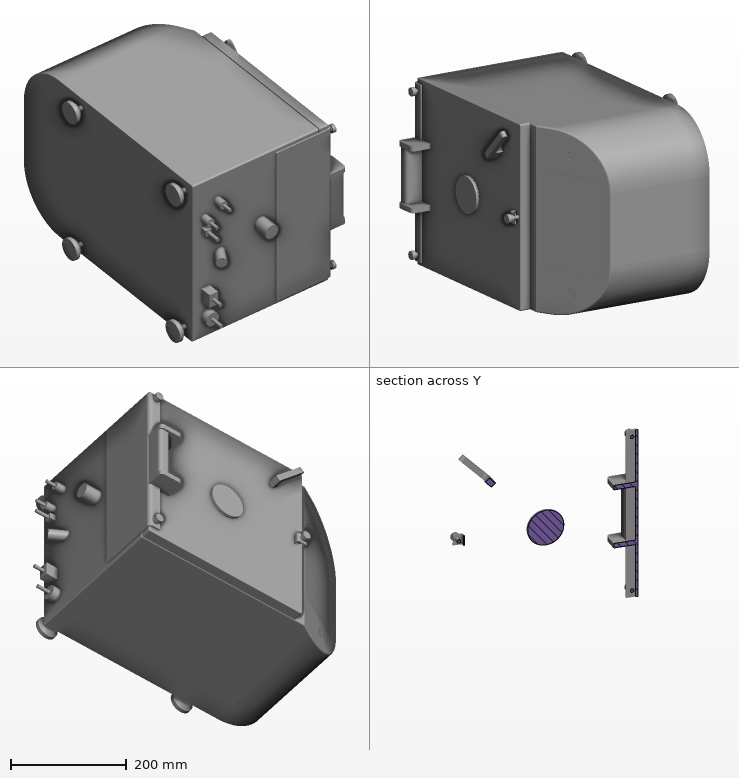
import cadquery as cq
import math


HOUSING_LENGTH = 481.5
HOUSING_WIDTH = 336.5
HOUSING_HEIGHT = 274.5
NOSE_RADIUS = 102.0
PANEL_LENGTH = 126.0
PANEL_SLOPE = 30.0
NOSE_HEIGHT = HOUSING_HEIGHT - PANEL_LENGTH * math.tan(math.radians(PANEL_SLOPE))
EDGE_BREAK = 3.0

PANEL_CENTRE_Y = 239.5
SCREEN_LENGTH = 122.5
SCREEN_WIDTH = 180.5
SCREEN_CORNER = 8.5
BUTTON_RADIUS = 8.5
BUTTON_OFFSET = 123.5
PANEL_RECESS = 0.5

FOOT_FRONT_X = 164.0
FOOT_REAR_X = 458.5
FOOT_HEIGHT = 25.5
FOOT_PAD_HEIGHT = 7.5
FOOT_CONE_HEIGHT = 6.0
FOOT_RADIUS = 21.0
FOOT_CONE_RADIUS = 15.0
FOOT_OFFSET = HOUSING_WIDTH / 2 - FOOT_RADIUS
FOOT_STEM_RADIUS = 5.0

PLUG_RADIUS = 8.0
PLUG_LENGTH = 19.0
PLUG_PIN_RADIUS = 3.0
PLUG_PIN_END = 518.5
PLUG_PLACES = [(53.5, 114.5), (25.0, 89.0)]
PIN_RADIUS = 3.4
SMALL_BLOCK_SIZE = 12.5
SMALL_BLOCK_LENGTH = 12.0
SMALL_BLOCK_PLACE = (25.5, 64.0)
SMALL_BLOCK_PIN_END = 519.5
LARGE_BLOCK_HEIGHT = 18.0
LARGE_BLOCK_WIDTH = 27.5
LARGE_BLOCK_LENGTH = 23.5
LARGE_BLOCK_PLACE = (28.0, -74.5)
LARGE_BLOCK_PIN_END = 525.0
SOCKET_RADIUS = 13.5
SOCKET_LENGTH = 14.5
SOCKET_PLACE = (32.0, -124.5)
SOCKET_PIN_END = 521.0
OUTLET_RADIUS = 13.5
OUTLET_LENGTH = 32.0
OUTLET_PLACE = (147.0, 22.5)
SPOUT_RADIUS = 10.0
SPOUT_END_X = 507.5
SPOUT_END_Y = 43.0
SPOUT_TILT = 30.0
SPOUT_LENGTH = 42.0

LID_FRONT_X = 146.0
LID_HEIGHT = 19.5
LID_TOP = HOUSING_HEIGHT + LID_HEIGHT
LID_TOP_FILLET = 1.5

COVER_X = 313.5
COVER_RADIUS = 33.5
COVER_RIM_RADIUS = 34.0
COVER_RIM_HEIGHT = 1.5
COVER_HEIGHT = 6.0

STRAP_WIDTH = 320.0
STRAP_FRONT_X = 461.5
STRAP_THICKNESS = 3.0
STRAP_GAP = 2.5
STRAP_TOP = LID_TOP + STRAP_GAP + STRAP_THICKNESS
STRAP_BACK_X = HOUSING_LENGTH + STRAP_THICKNESS
STRAP_END_Y = 179.5
STRAP_BEND = 8.0

HINGE_FRONT_X = 438.0
HINGE_BACK_X = 483.5
HINGE_TOP = 331.5
HINGE_WIDTH = 120.5
CHEEK_THICKNESS = 9.5
HINGE_BLOCK_TOP = 328.0
HINGE_FILLET = 7.0

KNOB_RADIUS = 8.0
REAR_KNOB_X = 472.0
REAR_KNOB_OFFSET = FOOT_OFFSET
REAR_KNOB_TOP = 313.0
REAR_COLLAR_BASE = 302.5
LATCH_KNOB_X = 154.0
LATCH_KNOB_TOP = 317.0
KNOB_HEAD_HEIGHT = 7.5
KNOB_COLLAR_RADIUS = 5.0
KNOB_STEM_RADIUS = 3.5

LATCH_FRONT_X = 145.5
LATCH_BACK_X = 164.5
LATCH_TOP = 305.0
LATCH_WIDTH = 20.0
LATCH_THICKNESS = 2.0
LATCH_BEND = 4.5
LATCH_SLOT = 8.5

HANDLE_TIP_X = 164.5
HANDLE_TIP_Z = 150.5
HANDLE_ANGLE = 45.0
HANDLE_LENGTH = 75.5
HANDLE_WIDTH = 11.0
HANDLE_HEIGHT = 26.0
HANDLE_BAR = 11.0
HANDLE_LEG = 17.0
HANDLE_NOSE_FILLET = 5.0
HANDLE_INNER_FILLET = 4.0
HANDLE_OUTER_FILLET = 2.0


def column(x, z, base, top, radius):
    """Cylinder along +Y from base to top."""
    return cq.Workplane(cq.Solid.makeCylinder(radius, top - base, cq.Vector(x, base, z), cq.Vector(0, 1, 0)))


def rear_rod(place, end_x, radius):
    """Cylinder along +X from the housing's back wall to end_x."""
    y, z = place
    start = cq.Vector(HOUSING_LENGTH, y, z)
    return cq.Workplane(cq.Solid.makeCylinder(radius, end_x - HOUSING_LENGTH, start, cq.Vector(1, 0, 0)))


def rear_block(place, length, height, width):
    """Box on the housing's back wall, centred on place."""
    y, z = place
    return (
        cq.Workplane("XY")
        .box(length, height, width, centered=(False, True, True))
        .translate((HOUSING_LENGTH, y, z))
    )


def make_shell():
    shell = (
        cq.Workplane("XY")
        .moveTo(0, 0)
        .lineTo(HOUSING_LENGTH, 0)
        .lineTo(HOUSING_LENGTH, HOUSING_HEIGHT)
        .lineTo(PANEL_LENGTH, HOUSING_HEIGHT)
        .lineTo(0, NOSE_HEIGHT)
        .close()
        .extrude(HOUSING_WIDTH / 2, both=True)
    )
    shell = shell.faces("<X").edges("|Y").fillet(NOSE_RADIUS)
    panel_middle = (PANEL_LENGTH / 2, (HOUSING_HEIGHT + NOSE_HEIGHT) / 2, 0)
    top_sides = shell.faces(">Y").edges("|X").vals()
    panel_rim = shell.faces(cq.selectors.NearestToPointSelector(panel_middle)).edges("not(|Z and >X)").vals()
    shell = shell.newObject(top_sides + panel_rim).fillet(EDGE_BREAK)
    return shell.faces(">X").edges("|Y").fillet(EDGE_BREAK)


def panel_recesses():
    """Screen and button recesses, sunk square to the sloping panel."""
    slope = math.radians(PANEL_SLOPE)
    centre_x = (PANEL_CENTRE_Y - NOSE_HEIGHT) / math.tan(slope)
    panel = cq.Plane(
        origin=(centre_x, PANEL_CENTRE_Y, 0),
        xDir=(math.cos(slope), math.sin(slope), 0),
        normal=(-math.sin(slope), math.cos(slope), 0),
    )
    screen = (
        cq.Workplane(panel)
        .rect(SCREEN_LENGTH, SCREEN_WIDTH)
        .extrude(-PANEL_RECESS)
        .edges(cq.selectors.ParallelDirSelector(panel.zDir))
        .fillet(SCREEN_CORNER)
    )
    buttons = (
        cq.Workplane(panel)
        .pushPoints([(0, -BUTTON_OFFSET), (0, BUTTON_OFFSET)])
        .circle(BUTTON_RADIUS)
        .extrude(-PANEL_RECESS)
    )
    return screen.union(buttons)


def make_foot(x, z):
    """Stem, cone and pad, revolved about the foot's axis."""
    pad_top = -FOOT_HEIGHT + FOOT_PAD_HEIGHT
    cone_top = pad_top + FOOT_CONE_HEIGHT
    return (
        cq.Workplane("XY")
        .moveTo(0, 0)
        .lineTo(FOOT_STEM_RADIUS, 0)
        .lineTo(FOOT_STEM_RADIUS, cone_top)
        .lineTo(FOOT_CONE_RADIUS, cone_top)
        .lineTo(FOOT_RADIUS, pad_top)
        .lineTo(FOOT_RADIUS, -FOOT_HEIGHT)
        .lineTo(0, -FOOT_HEIGHT)
        .close()
        .revolve(360, (0, 0, 0), (0, 1, 0))
        .translate((x, 0, z))
    )


def make_spout():
    """Tilted cylinder that runs from inside the housing out and down to its open end."""
    tilt = math.radians(SPOUT_TILT)
    inward = cq.Vector(-math.cos(tilt), math.sin(tilt), 0)
    end = cq.Vector(SPOUT_END_X, SPOUT_END_Y, 0)
    return cq.Workplane(cq.Solid.makeCylinder(SPOUT_RADIUS, SPOUT_LENGTH, end, inward))


def make_connectors():
    parts = [
        rear_block(SMALL_BLOCK_PLACE, SMALL_BLOCK_LENGTH, SMALL_BLOCK_SIZE, SMALL_BLOCK_SIZE),
        rear_rod(SMALL_BLOCK_PLACE, SMALL_BLOCK_PIN_END, PIN_RADIUS),
        rear_block(LARGE_BLOCK_PLACE, LARGE_BLOCK_LENGTH, LARGE_BLOCK_HEIGHT, LARGE_BLOCK_WIDTH),
        rear_rod(LARGE_BLOCK_PLACE, LARGE_BLOCK_PIN_END, PIN_RADIUS),
        rear_rod(SOCKET_PLACE, HOUSING_LENGTH + SOCKET_LENGTH, SOCKET_RADIUS),
        rear_rod(SOCKET_PLACE, SOCKET_PIN_END, PIN_RADIUS),
        rear_rod(OUTLET_PLACE, HOUSING_LENGTH + OUTLET_LENGTH, OUTLET_RADIUS),
        make_spout(),
    ]
    for place in PLUG_PLACES:
        parts.append(rear_rod(place, HOUSING_LENGTH + PLUG_LENGTH, PLUG_RADIUS))
        parts.append(rear_rod(place, PLUG_PIN_END, PLUG_PIN_RADIUS))
    return parts


def make_housing():
    housing = make_shell().cut(panel_recesses())
    for x in (FOOT_FRONT_X, FOOT_REAR_X):
        for z in (-FOOT_OFFSET, FOOT_OFFSET):
            housing = housing.union(make_foot(x, z))
    for connector in make_connectors():
        housing = housing.union(connector)
    return housing


def make_lid_plate():
    return (
        cq.Workplane("XY")
        .box(HOUSING_LENGTH - LID_FRONT_X, LID_HEIGHT, HOUSING_WIDTH, centered=(False, False, True))
        .translate((LID_FRONT_X, HOUSING_HEIGHT, 0))
        .edges("|Y")
        .fillet(EDGE_BREAK)
        .faces(">Y")
        .edges()
        .fillet(LID_TOP_FILLET)
    )


def make_cover():
    rim = column(COVER_X, 0, LID_TOP, LID_TOP + COVER_RIM_HEIGHT, COVER_RIM_RADIUS)
    return rim.union(column(COVER_X, 0, LID_TOP, LID_TOP + COVER_HEIGHT, COVER_RADIUS))


def bent_strip(front_x, back_x, top, bottom, thickness, bend, width):
    """Strip that runs back along +X, then bends down along -Y."""
    strip = (
        cq.Workplane("XY")
        .moveTo(front_x, top)
        .lineTo(back_x, top)
        .lineTo(back_x, bottom)
        .lineTo(back_x - thickness, bottom)
        .lineTo(back_x - thickness, top - thickness)
        .lineTo(front_x, top - thickness)
        .close()
        .extrude(width / 2, both=True)
    )
    strip = strip.edges(cq.selectors.NearestToPointSelector((back_x, top, 0))).fillet(bend)
    inner_corner = (back_x - thickness, top - thickness, 0)
    return strip.edges(cq.selectors.NearestToPointSelector(inner_corner)).fillet(bend - thickness)


def make_strap():
    return bent_strip(
        STRAP_FRONT_X, STRAP_BACK_X, STRAP_TOP, STRAP_END_Y, STRAP_THICKNESS, STRAP_BEND, STRAP_WIDTH
    )


def make_hinge():
    cheek = (
        cq.Workplane("XY")
        .box(HINGE_BACK_X - HINGE_FRONT_X, HINGE_TOP - LID_TOP, CHEEK_THICKNESS, centered=False)
        .translate((HINGE_FRONT_X, LID_TOP, HINGE_WIDTH / 2 - CHEEK_THICKNESS))
        .faces(">Y")
        .edges("|Z")
        .fillet(HINGE_FILLET)
    )
    block_base = LID_TOP + STRAP_GAP
    block_length = HINGE_BACK_X - STRAP_FRONT_X
    block_height = HINGE_BLOCK_TOP - block_base
    block_width = HINGE_WIDTH - 2 * CHEEK_THICKNESS
    block = (
        cq.Workplane("XY")
        .box(block_length, block_height, block_width, centered=(False, False, True))
        .translate((STRAP_FRONT_X, block_base, 0))
        .faces(">Y")
        .edges("|Z")
        .fillet(HINGE_FILLET)
    )
    return block.union(cheek).union(cheek.mirror("XY"))


def make_knob(x, z, collar_base, top):
    """Knob head over a collar, on a stem that stands on the lid."""
    head_base = top - KNOB_HEAD_HEIGHT
    head = column(x, z, head_base, top, KNOB_RADIUS)
    collar = column(x, z, collar_base, head_base, KNOB_COLLAR_RADIUS)
    stem = column(x, z, LID_TOP, head_base, KNOB_STEM_RADIUS)
    return head.union(collar).union(stem)


def make_latch():
    bracket = bent_strip(
        LATCH_FRONT_X, LATCH_BACK_X, LATCH_TOP, LID_TOP, LATCH_THICKNESS, LATCH_BEND, LATCH_WIDTH
    )
    slot_end = LATCH_KNOB_X + LATCH_SLOT / 2
    slot = (
        cq.Workplane("XY")
        .box(slot_end - LATCH_FRONT_X, LATCH_TOP - LID_TOP, LATCH_SLOT, centered=(False, False, True))
        .translate((LATCH_FRONT_X, LID_TOP, 0))
    )
    return bracket.cut(slot).union(make_knob(LATCH_KNOB_X, 0, LATCH_TOP, LATCH_KNOB_TOP))


def make_handle():
    """Bar and leg modelled along +X from the tip, then swung to the handle's angle about Y."""
    leg_x = HANDLE_LENGTH - HANDLE_LEG
    bar_base = HANDLE_HEIGHT - HANDLE_BAR
    handle = (
        cq.Workplane("XY")
        .moveTo(0, HANDLE_HEIGHT)
        .lineTo(HANDLE_LENGTH, HANDLE_HEIGHT)
        .lineTo(HANDLE_LENGTH, 0)
        .lineTo(leg_x, 0)
        .lineTo(leg_x, bar_base)
        .lineTo(0, bar_base)
        .close()
        .extrude(HANDLE_WIDTH / 2, both=True)
    )
    inner_corner = cq.selectors.NearestToPointSelector((leg_x, bar_base, 0))
    handle = handle.edges(inner_corner).fillet(HANDLE_INNER_FILLET)
    handle = handle.faces("<X").edges("|Z").fillet(HANDLE_NOSE_FILLET)
    handle = handle.faces(">Y").edges(">X").fillet(HANDLE_OUTER_FILLET)
    return handle.rotate((0, 0, 0), (0, 1, 0), HANDLE_ANGLE).translate((HANDLE_TIP_X, LID_TOP, HANDLE_TIP_Z))


def make_lid():
    lid = make_lid_plate()
    for fitting in (make_cover(), make_strap(), make_hinge(), make_latch(), make_handle()):
        lid = lid.union(fitting)
    for z in (-REAR_KNOB_OFFSET, REAR_KNOB_OFFSET):
        lid = lid.union(make_knob(REAR_KNOB_X, z, REAR_COLLAR_BASE, REAR_KNOB_TOP))
    return lid


housing = make_housing()
lid = make_lid()
result = cq.Compound.makeCompound([housing.solids().val(), lid.solids().val()])